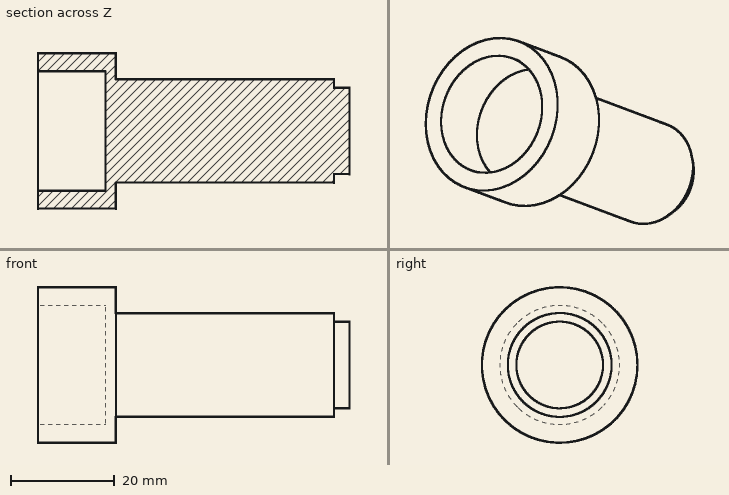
import cadquery as cq

total_length = 60.0
head_length = 15.0
tip_length = 3.0
shank_length = total_length - head_length - tip_length

head_diameter = 30.0
shank_diameter = 20.0
tip_diameter = 16.7

bore_diameter = 23.0
bore_depth = 13.0


def cylinder_along_x(start_x, length, diameter):
    """Solid cylinder on the X axis, running from start_x toward +X."""
    return (
        cq.Workplane("YZ")
        .workplane(offset=start_x)
        .circle(diameter / 2)
        .extrude(length)
    )


head = cylinder_along_x(0, head_length, head_diameter)
shank = cylinder_along_x(head_length, shank_length, shank_diameter)
tip = cylinder_along_x(head_length + shank_length, tip_length, tip_diameter)

bore = cylinder_along_x(0, bore_depth, bore_diameter)

result = head.union(shank).union(tip).cut(bore)